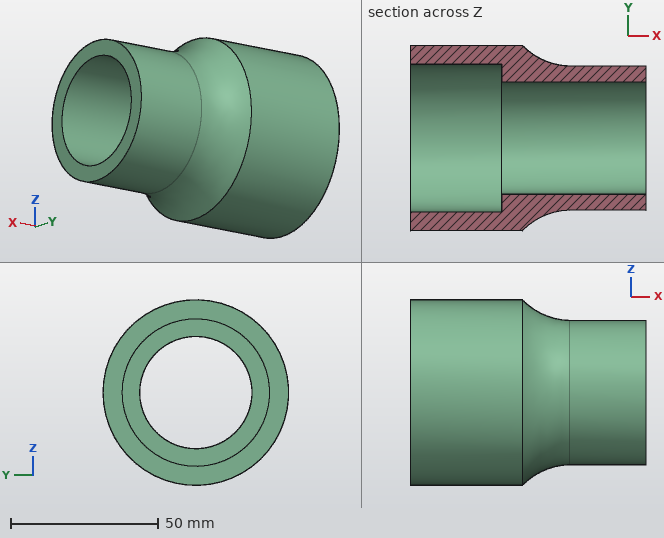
import cadquery as cq

total_length = 80.0
body_diameter = 63.0
body_length = 38.0
spigot_diameter = 49.0
spigot_length = 26.0
neck_arc_radius = 23.0
socket_diameter = 50.0
socket_depth = 31.0
bore_diameter = 38.0

body_radius = body_diameter / 2
spigot_radius = spigot_diameter / 2
spigot_start = total_length - spigot_length


def outer_form():
    """Solid of revolution: body, concave neck and spigot."""
    profile = (
        cq.Workplane("XY")
        .lineTo(0, body_radius)
        .lineTo(body_length, body_radius)
        .radiusArc((spigot_start, spigot_radius), -neck_arc_radius)
        .lineTo(total_length, spigot_radius)
        .lineTo(total_length, 0)
        .close()
    )
    return profile.revolve(360, (0, 0, 0), (1, 0, 0))


def round_hole(diameter, depth):
    """Cylinder along X that starts at the body end face."""
    return cq.Workplane("YZ").circle(diameter / 2).extrude(depth)


socket = round_hole(socket_diameter, socket_depth)
through_bore = round_hole(bore_diameter, total_length)

result = outer_form().cut(socket).cut(through_bore)